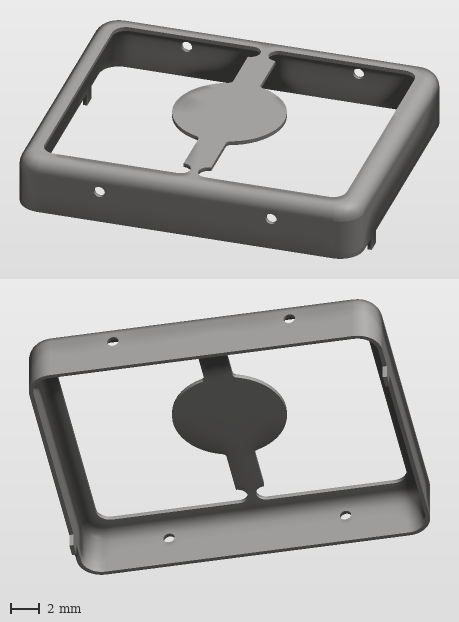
import cadquery as cq
import math

length = 25.0
width = 21.0
height = 5.0
foot_height = 1.0
sheet = 0.3
corner_radius = 1.75
top_edge_radius = 1.0

rim_width = 1.5
window_corner_radius = 1.0

pad_radius = 4.0
stem_width = 2.0
stem_root_radius = 0.35
neck_notch_radius = 0.7

hole_diameter = 0.8
hole_spacing = 12.5
hole_depth_below_top = 1.6

foot_width = 1.0
foot_spacing = 13.0

wall_height = height - foot_height
roof_bottom = height - sheet
window_length = length - 2 * rim_width
window_width = width - 2 * rim_width


def rounded_block(inset, block_height):
    """Block with rounded corners and top edge, inset from the outer walls."""
    return (
        cq.Workplane("XY", origin=(0, 0, foot_height))
        .rect(length - 2 * inset, width - 2 * inset)
        .extrude(block_height)
        .edges("|Z")
        .fillet(corner_radius - inset)
        .faces(">Z")
        .edges()
        .fillet(top_edge_radius - inset)
    )


def roof_sheet():
    """Workplane at the underside of the roof."""
    return cq.Workplane("XY", origin=(0, 0, roof_bottom))


def make_shell():
    shell = rounded_block(0, wall_height).cut(rounded_block(sheet, wall_height - sheet))
    window = (
        roof_sheet()
        .rect(window_length, window_width)
        .extrude(sheet)
        .edges("|Z")
        .fillet(window_corner_radius)
    )
    return shell.cut(window)


def make_pad():
    """Round pad and its stems, with a pair of round notches at each stem end."""
    stem = roof_sheet().rect(stem_width, window_width).extrude(sheet)
    pad = roof_sheet().circle(pad_radius).extrude(sheet).union(stem)

    root_x = stem_width / 2
    root_y = math.sqrt(pad_radius**2 - root_x**2)
    reach = stem_root_radius / 2
    root_edges = cq.selectors.BoxSelector(
        (-root_x - reach, -root_y - reach, roof_bottom - reach),
        (root_x + reach, root_y + reach, height + reach),
    )
    pad = pad.edges("|Z").edges(root_edges).fillet(stem_root_radius)

    notch_y = window_width / 2 - neck_notch_radius
    notches = (
        roof_sheet()
        .rect(stem_width, 2 * notch_y, forConstruction=True)
        .vertices()
        .circle(neck_notch_radius)
        .extrude(sheet)
    )
    return pad.cut(notches)


def make_holes():
    """Cylinders crossing both long walls."""
    return (
        cq.Workplane("XZ", origin=(0, 0, height - hole_depth_below_top))
        .pushPoints([(-hole_spacing / 2, 0), (hole_spacing / 2, 0)])
        .circle(hole_diameter / 2)
        .extrude(width, both=True)
    )


def make_feet():
    """One foot per short wall, at diagonally opposite places."""
    foot_x = (length - sheet) / 2
    foot_y = foot_spacing / 2
    return (
        cq.Workplane("XY")
        .pushPoints([(-foot_x, foot_y), (foot_x, -foot_y)])
        .rect(sheet, foot_width)
        .extrude(foot_height)
    )


result = make_shell().union(make_pad()).union(make_feet()).cut(make_holes())